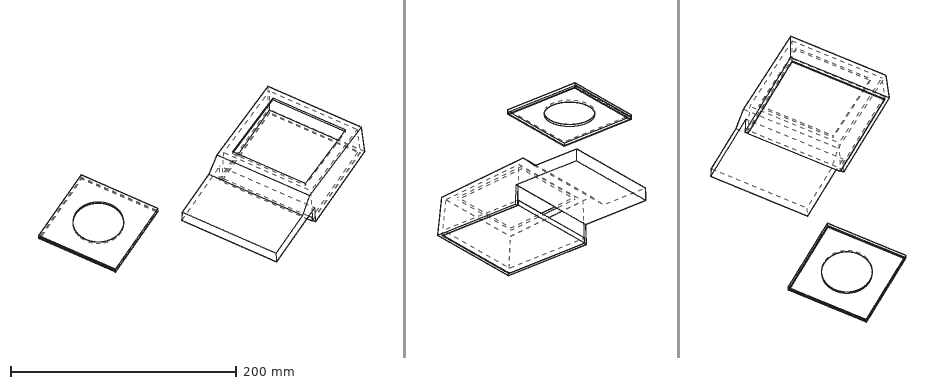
import cadquery as cq
import math

HOUSING_LEFT = 98.8
HOUSING_WIDTH = 98.0
HOUSING_CENTER_X = HOUSING_LEFT + HOUSING_WIDTH / 2
REAR_Y = 242.2
HOOD_FRONT_Y = 151.9
HANDLE_END_Y = 82.0
HANDLE_BOTTOM_Z = 19.9
HANDLE_TOP_Z = 32.2
BEVEL_END_Y = 130.8
CREST_Y = 144.5
CREST_Z = 45.0
REAR_TOP_Z = 38.0
SIDE_DRAFT = math.tan(math.radians(2.5))
REAR_DRAFT = math.tan(math.radians(5))
REAR_TOP_Y = REAR_Y - REAR_DRAFT * REAR_TOP_Z
ROOF_SLOPE = (REAR_TOP_Z - CREST_Z) / (REAR_TOP_Y - CREST_Y)

WALL = 3.0
ROOF_THICKNESS = 2.5
WINDOW_SIZE = 73.9
WINDOW_CENTER_Y = 192.0

BASE_WIDTH = 91.5
BASE_THICKNESS = 5.0
BASE_FRONT_Y = 151.1
BASE_REAR_Y = 238.3

COVER_SIZE = 78.0
COVER_BOTTOM_Z = 24.0
COVER_THICKNESS = 4.5
COVER_SKIN = 2.2
COVER_RIM = 1.0
COVER_FRONT_STEP = 0.2
COVER_HOLE_DIAMETER = 45.0


def roof_z(y):
    """Height of the sloping roof plane at a given Y."""
    return CREST_Z + ROOF_SLOPE * (y - CREST_Y)


def drafted_prism(profile, bottom_width):
    """Y-Z profile across X, with both sides leaning inward as they rise."""
    prism = (
        cq.Workplane("YZ", origin=(HOUSING_LEFT, 0, 0))
        .polyline(profile).close().extrude(HOUSING_WIDTH)
    )
    half_bottom = bottom_width / 2
    half_top = half_bottom - SIDE_DRAFT * CREST_Z
    sides = (
        cq.Workplane("XZ", origin=(HOUSING_CENTER_X, 0, 0))
        .polyline([(-half_bottom, 0), (half_bottom, 0), (half_top, CREST_Z), (-half_top, CREST_Z)])
        .close().extrude(-REAR_Y)
    )
    return prism.intersect(sides)


def make_cavity():
    """Space open at the bottom and at the front below the handle."""
    rear_y = REAR_Y - WALL
    ceiling_drop = ROOF_THICKNESS * math.hypot(1, ROOF_SLOPE)
    rear_ceiling_z = (roof_z(rear_y) - ceiling_drop) / (1 + ROOF_SLOPE * REAR_DRAFT)
    profile = [
        (rear_y, 0),
        (HOOD_FRONT_Y, 0),
        (HOOD_FRONT_Y, roof_z(HOOD_FRONT_Y) - ceiling_drop),
        (rear_y - REAR_DRAFT * rear_ceiling_z, rear_ceiling_z),
    ]
    return drafted_prism(profile, HOUSING_WIDTH - 2 * WALL)


def make_window():
    """Square opening cut at right angles to the sloping roof."""
    roof_plane = cq.Plane(
        origin=(HOUSING_CENTER_X, WINDOW_CENTER_Y, roof_z(WINDOW_CENTER_Y)),
        xDir=(1, 0, 0),
        normal=(0, -ROOF_SLOPE, 1),
    )
    return cq.Workplane(roof_plane).rect(WINDOW_SIZE, WINDOW_SIZE).extrude(2 * ROOF_THICKNESS, both=True)


def make_housing():
    profile = [
        (REAR_Y, 0),
        (HOOD_FRONT_Y, 0),
        (HOOD_FRONT_Y, HANDLE_BOTTOM_Z),
        (HANDLE_END_Y, HANDLE_BOTTOM_Z),
        (HANDLE_END_Y, HANDLE_TOP_Z),
        (BEVEL_END_Y, HANDLE_TOP_Z),
        (CREST_Y, CREST_Z),
        (REAR_TOP_Y, REAR_TOP_Z),
    ]
    return drafted_prism(profile, HOUSING_WIDTH).cut(make_cavity()).cut(make_window()).solids()


def make_base_plate():
    return cq.Workplane("XY").box(
        BASE_WIDTH, BASE_REAR_Y - BASE_FRONT_Y, BASE_THICKNESS, centered=(True, False, False)
    ).translate((HOUSING_CENTER_X, BASE_FRONT_Y, 0))


def make_cover():
    cover = cq.Workplane("XY").box(COVER_SIZE, COVER_SIZE, COVER_THICKNESS, centered=False)
    inner_width = COVER_SIZE - 2 * COVER_RIM
    rim_height = COVER_THICKNESS - COVER_SKIN
    front_step = cq.Workplane("XY").box(
        inner_width, COVER_FRONT_STEP, rim_height, centered=False
    ).translate((COVER_RIM, 0, 0))
    recess_front_y = COVER_FRONT_STEP + COVER_RIM
    recess = cq.Workplane("XY").box(
        inner_width, COVER_SIZE - COVER_RIM - recess_front_y, rim_height, centered=False
    ).translate((COVER_RIM, recess_front_y, 0))
    hole = (
        cq.Workplane("XY").center(COVER_SIZE / 2, COVER_SIZE / 2)
        .circle(COVER_HOLE_DIAMETER / 2).extrude(COVER_THICKNESS)
    )
    return cover.cut(front_step).cut(recess).cut(hole).translate((0, 0, COVER_BOTTOM_Z)).solids()


housing = make_housing()
base_plate = make_base_plate()
cover = make_cover()

result = cq.Compound.makeCompound([housing.val(), base_plate.val(), cover.val()])